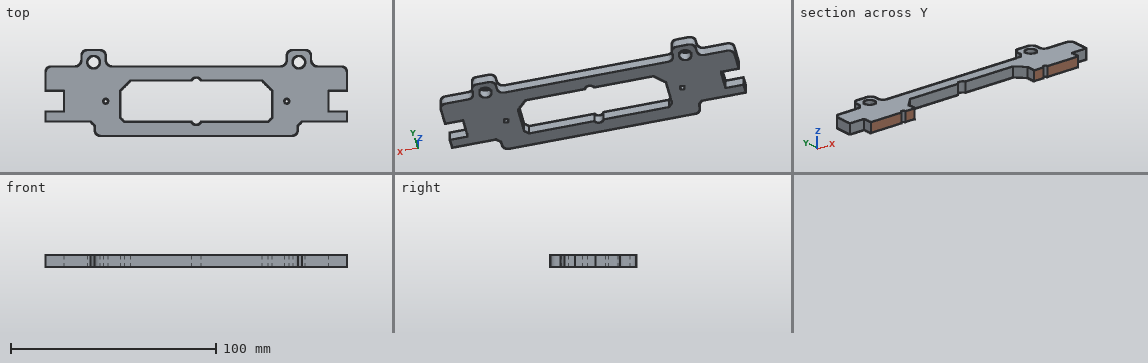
import cadquery as cq

LENGTH = 147.0
WIDTH = 42.0
THICKNESS = 6.0
Y_LOWER_EDGE = -WIDTH / 2

BAR_BOTTOM = Y_LOWER_EDGE + 7.0
BAR_TOP = Y_LOWER_EDGE + 34.0
BAR_CORNER_RADIUS = 3.0
STRIP_LENGTH = 99.0
STRIP_CORNER_RADIUS = 3.0
STEP_CHAMFER = 2.0

EAR_X = 50.0
EAR_WIDTH = 12.0
EAR_TOP = Y_LOWER_EDGE + WIDTH
EAR_RADIUS = 3.0
EAR_HOLE_DIAMETER = 6.0
EAR_HOLE_Y = EAR_TOP - EAR_WIDTH / 2

SLOT_DEPTH = 9.0
SLOT_BOTTOM = Y_LOWER_EDGE + 12.0
SLOT_TOP = Y_LOWER_EDGE + 22.0

WINDOW_LENGTH = 74.0
WINDOW_BOTTOM = BAR_BOTTOM
WINDOW_TOP = Y_LOWER_EDGE + 27.0
UPPER_WINDOW_CHAMFER = 5.0
LOWER_WINDOW_CHAMFER = 2.0
RELIEF_RADIUS = 2.5
RELIEF_DEPTH = 1.5

PIN_HOLE_X = 44.1
PIN_HOLE_Y = (WINDOW_BOTTOM + WINDOW_TOP) / 2
PIN_HOLE_DIAMETER = 2.25


def block(x_min, x_max, y_min, y_max):
    """Full-thickness rectangular block between the given X and Y limits."""
    return (
        cq.Workplane("XY")
        .box(x_max - x_min, y_max - y_min, THICKNESS, centered=False)
        .translate((x_min, y_min, 0))
    )


def cylinders(centres, diameter):
    """Full-thickness cylinders standing on the given centres."""
    return cq.Workplane("XY").pushPoints(centres).circle(diameter / 2).extrude(THICKNESS)


def mirrored(x, y):
    """A point and its mirror image across the middle of the plate."""
    return [(-x, y), (x, y)]


def edge_at(body, x, y):
    """Select the vertical edge of the body nearest to the given point."""
    nearest = cq.selectors.NearestToPointSelector((x, y, THICKNESS / 2))
    return body.edges("|Z").edges(nearest)


def round_edges(body, points, radius):
    """Fillet the vertical edges that pass through the given points."""
    for x, y in points:
        body = edge_at(body, x, y).fillet(radius)
    return body


def chamfer_edges(body, points, size):
    """Chamfer the vertical edges that pass through the given points."""
    for x, y in points:
        body = edge_at(body, x, y).chamfer(size)
    return body


def make_plate():
    """Outer body: bar, lower strip and ears, with softened corners."""
    half_length = LENGTH / 2
    half_strip = STRIP_LENGTH / 2
    half_ear = EAR_WIDTH / 2
    plate = block(-half_length, half_length, BAR_BOTTOM, BAR_TOP)
    plate = plate.union(block(-half_strip, half_strip, Y_LOWER_EDGE, BAR_TOP))
    for x in (-EAR_X, EAR_X):
        plate = plate.union(block(x - half_ear, x + half_ear, BAR_BOTTOM, EAR_TOP))
    plate = plate.clean()

    plate = round_edges(plate, mirrored(half_length, BAR_TOP), BAR_CORNER_RADIUS)
    plate = round_edges(plate, mirrored(half_strip, Y_LOWER_EDGE), STRIP_CORNER_RADIUS)
    plate = chamfer_edges(plate, mirrored(half_strip, BAR_BOTTOM), STEP_CHAMFER)
    for x in (EAR_X - half_ear, EAR_X + half_ear):
        for y in (BAR_TOP, EAR_TOP):
            plate = round_edges(plate, mirrored(x, y), EAR_RADIUS)
    return plate


def make_end_slots():
    """Cutters for the rectangular slots open at both ends."""
    half_length = LENGTH / 2
    left = block(-half_length, -half_length + SLOT_DEPTH, SLOT_BOTTOM, SLOT_TOP)
    right = block(half_length - SLOT_DEPTH, half_length, SLOT_BOTTOM, SLOT_TOP)
    return left.union(right)


def make_window():
    """Cutter for the window: larger chamfers above, smaller below, relieved mid-side."""
    half_window = WINDOW_LENGTH / 2
    window = block(-half_window, half_window, WINDOW_BOTTOM, WINDOW_TOP)
    window = window.edges("|Z and >Y").chamfer(UPPER_WINDOW_CHAMFER)
    window = window.edges("|Z and <Y").chamfer(LOWER_WINDOW_CHAMFER)
    relief_inset = RELIEF_RADIUS - RELIEF_DEPTH
    relief_centres = [(0, WINDOW_BOTTOM + relief_inset), (0, WINDOW_TOP - relief_inset)]
    return window.union(cylinders(relief_centres, 2 * RELIEF_RADIUS))


result = (
    make_plate()
    .cut(make_end_slots())
    .cut(make_window())
    .cut(cylinders(mirrored(EAR_X, EAR_HOLE_Y), EAR_HOLE_DIAMETER))
    .cut(cylinders(mirrored(PIN_HOLE_X, PIN_HOLE_Y), PIN_HOLE_DIAMETER))
)